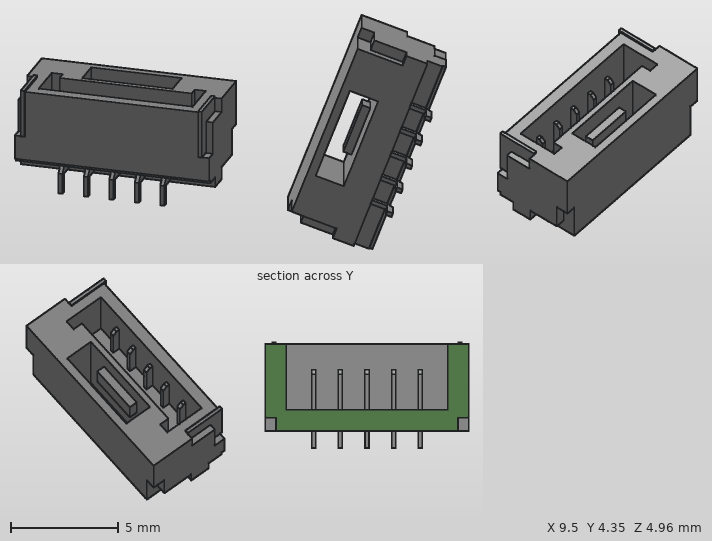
import cadquery as cq


width = 9.5
depth = 4.24
height = 4.07
foot_front = 0.94
foot_step_height = 0.48
lip_depth = 0.17
lip_height = 0.65

front_wall = 0.58
cavity_width = 7.52
cavity_back = 2.14
cavity_floor = 1.0
key_width = 0.53
key_back = 2.63

window_width = 4.42
window_front = 2.42
window_back = 3.83
catch_width = 2.43
catch_depth = 0.41
catch_height = 1.0
catch_recess = 1.0
catch_top = height - catch_recess

clip_inset = 0.32
clip_thickness = 0.18
clip_front_overhang = 0.11
clip_top_overhang = 0.09
clip_back = 1.94
clip_arm_bottom = 3.39
clip_recess_bottom = 1.81
clip_clearance = 0.03
recess_depth = clip_inset + clip_thickness

notch_depth = recess_depth
notch_front = 1.99
notch_upright_depth = 0.65
notch_step = depth - notch_upright_depth
notch_low_top = 0.61
notch_high_top = 1.9

pin_count = 5
pin_pitch = 1.24
pin_width = 0.2
pin_front = -clip_front_overhang
pin_back = foot_front
leg_thickness = lip_depth - pin_front
leg_bottom = -0.8
bar_bottom = 0.11
bar_top = foot_step_height
bend_chamfer = leg_thickness
post_top = 2.85
tip_chamfer = 0.2


def block(x_size, y_min, y_max, z_min, z_max):
    """Box centred on X between the given Y and Z limits."""
    box = cq.Workplane("XY").box(x_size, y_max - y_min, z_max - z_min, centered=(True, False, False))
    return box.translate((0, y_min, z_min))


def side_plate(points, x_min, thickness):
    """Plate with a closed (Y, Z) outline, running from x_min towards +X."""
    return cq.Workplane("YZ", origin=(x_min, 0, 0)).polyline(points).close().extrude(thickness)


def on_both_ends(left_solid):
    """The given solid together with its mirror image across the YZ plane."""
    return left_solid.union(left_solid.mirror("YZ"))


def make_housing():
    side_outline = [
        (depth, 0),
        (foot_front, 0),
        (foot_front, foot_step_height),
        (lip_depth, foot_step_height),
        (lip_depth, lip_height),
        (0, lip_height),
        (0, height),
        (depth, height),
    ]
    return side_plate(side_outline, -width / 2, width)


def make_cavity():
    main = block(cavity_width, front_wall, cavity_back, cavity_floor, height)
    key_slot = block(key_width, cavity_back, key_back, cavity_floor, height)
    left_key_slot = key_slot.translate(((key_width - cavity_width) / 2, 0, 0))
    return main.union(on_both_ends(left_key_slot))


def make_window():
    opening = block(window_width, window_front, window_back, 0, height)
    catch = block(catch_width, window_front, window_front + catch_depth, catch_top - catch_height, catch_top)
    return opening.cut(catch)


def clip_outline(front, bottom, top):
    return [
        (front, bottom),
        (front_wall, bottom),
        (front_wall, clip_arm_bottom),
        (clip_back, clip_arm_bottom),
        (clip_back, top),
        (front, top),
    ]


def make_clip_recesses():
    outline = clip_outline(0, clip_recess_bottom, height)
    return on_both_ends(side_plate(outline, -width / 2, recess_depth))


def make_clips():
    outline = clip_outline(
        -clip_front_overhang,
        clip_recess_bottom + clip_clearance,
        height + clip_top_overhang,
    )
    return on_both_ends(side_plate(outline, clip_inset - width / 2, clip_thickness))


def make_back_notches():
    outline = [
        (notch_front, 0),
        (depth, 0),
        (depth, notch_high_top),
        (notch_step, notch_high_top),
        (notch_step, notch_low_top),
        (notch_front, notch_low_top),
    ]
    return on_both_ends(side_plate(outline, -width / 2, notch_depth))


def make_pin():
    """Leg, bar under the housing and chamfered post along the cavity front wall."""
    outline = [
        (pin_front, leg_bottom),
        (lip_depth, leg_bottom),
        (lip_depth, bar_bottom),
        (pin_back, bar_bottom),
        (pin_back, post_top - tip_chamfer),
        (pin_back - tip_chamfer, post_top),
        (front_wall, post_top),
        (front_wall, bar_top),
        (pin_front + bend_chamfer, bar_top),
        (pin_front, bar_top - bend_chamfer),
    ]
    return side_plate(outline, -pin_width / 2, pin_width)


result = make_housing()
for pocket in (make_cavity(), make_window(), make_clip_recesses(), make_back_notches()):
    result = result.cut(pocket)

result = result.union(make_clips())

pin = make_pin()
for index in range(pin_count):
    pin_x = (index - (pin_count - 1) / 2) * pin_pitch
    result = result.union(pin.translate((pin_x, 0, 0)))